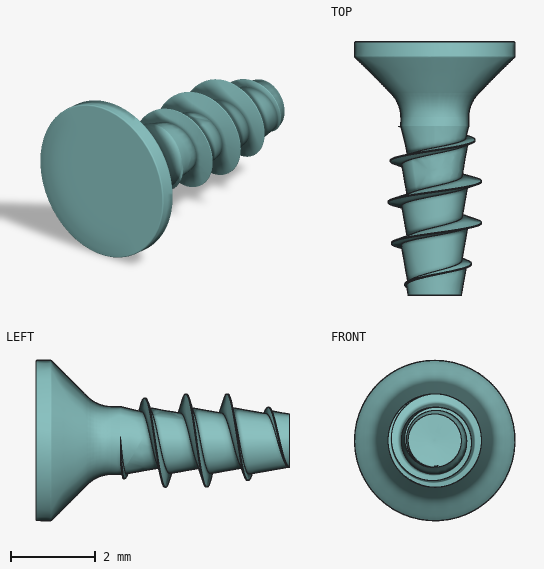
import cadquery as cq
import math

LENGTH = 6.0

HEAD_DIAMETER = 3.8
RIM_HEIGHT = 0.36
HEAD_CONE_ANGLE = 45.0
TOP_EDGE_RADIUS = 0.03
RIM_EDGE_RADIUS = 0.05

SHANK_RADIUS = 0.805
SHANK_BOTTOM = 4.0
NECK_FILLET_RADIUS = 0.8

CORE_RADIUS = 0.6
RUN_IN_CONE_LENGTH = 0.84

TIP_RADIUS = 0.63
TIP_RIM_WIDTH = 0.035
TIP_DIMPLE_DEPTH = 0.035

PITCH = 0.98
CREST_RADIUS = 1.105
CREST_WIDTH = 0.025
FLANK_ANGLE = 15.0
THREAD_ROOT_RADIUS = 0.5
CREST_START_RADIUS = SHANK_RADIUS
SLOW_START_TURNS = 0.5
SLOW_START_PITCH = 0.4
RUN_IN_TURNS = 1.5
FULL_TURNS = 1.5
RUN_OUT_TURNS = 1.5
CREST_END_RADIUS = TIP_RADIUS

LAND_ANGLE = 10.0
LAND_TOP_RADIUS = 0.8
LAND_ROOT_RADIUS = 0.4
LAND_END_GAP = 0.02

SAMPLES_PER_TURN = 12

HEAD_RADIUS = HEAD_DIAMETER / 2
RIM_BOTTOM = LENGTH - RIM_HEIGHT
LAND_SLOPE = math.tan(math.radians(LAND_ANGLE))
THREAD_TURNS = RUN_IN_TURNS + FULL_TURNS + RUN_OUT_TURNS
LAND_LENGTH = PITCH - LAND_END_GAP


def blank():
    """Head, neck, shank and plain core as one turned body."""
    sweep = math.radians(HEAD_CONE_ANGLE)
    half_sweep = sweep / 2
    arc_top_radius = SHANK_RADIUS + NECK_FILLET_RADIUS * (1 - math.cos(sweep))
    arc_top_y = RIM_BOTTOM - (HEAD_RADIUS - arc_top_radius) / math.tan(sweep)
    arc_bottom_y = arc_top_y - NECK_FILLET_RADIUS * math.sin(sweep)
    arc_mid = (
        arc_bottom_y + NECK_FILLET_RADIUS * math.sin(half_sweep),
        SHANK_RADIUS + NECK_FILLET_RADIUS * (1 - math.cos(half_sweep)),
    )
    body = (
        cq.Workplane("YZ")
        .moveTo(0, 0)
        .lineTo(0, CORE_RADIUS)
        .lineTo(SHANK_BOTTOM - RUN_IN_CONE_LENGTH, CORE_RADIUS)
        .lineTo(SHANK_BOTTOM, SHANK_RADIUS)
        .lineTo(arc_bottom_y, SHANK_RADIUS)
        .threePointArc(arc_mid, (arc_top_y, arc_top_radius))
        .lineTo(RIM_BOTTOM, HEAD_RADIUS)
        .lineTo(LENGTH, HEAD_RADIUS)
        .lineTo(LENGTH, 0)
        .close()
        .revolve(360, (0, 0, 0), (1, 0, 0))
    )
    body = body.faces(">Y").edges().fillet(TOP_EDGE_RADIUS)
    rim_edge = cq.selectors.BoxSelector(
        (-HEAD_DIAMETER, RIM_BOTTOM - RIM_EDGE_RADIUS, -HEAD_DIAMETER),
        (HEAD_DIAMETER, RIM_BOTTOM + RIM_EDGE_RADIUS, HEAD_DIAMETER),
        boundingbox=True,
    )
    return body.edges(rim_edge).fillet(RIM_EDGE_RADIUS)


def land_y(t):
    """Axial position of the land after t turns, with a constant lead."""
    return (THREAD_TURNS - t) * PITCH


def thread_y(t):
    """Axial position of the thread after t turns, with a lower lead at the start."""
    slow_left = max(0, SLOW_START_TURNS - t)
    return slow_left * SLOW_START_PITCH + land_y(max(t, SLOW_START_TURNS))


def helix_edge(radius_at, y_at):
    """Helix starting at +Z, advancing to the tip, with radius and y given per turn."""

    def point(t):
        angle = math.pi / 2 + 2 * math.pi * t
        radius = radius_at(t)
        return cq.Vector(radius * math.cos(angle), y_at(t), radius * math.sin(angle))

    count = round(THREAD_TURNS * SAMPLES_PER_TURN)
    points = [point(i / SAMPLES_PER_TURN) for i in range(count + 1)]
    return cq.Edge.makeSpline(points)


def helical_solid(profile, shift_at, y_at):
    """Carry a (radius, axial) polygon along the helix, shifting it radially."""
    edges = [
        helix_edge(lambda t, r=radius: r + shift_at(t), lambda t, a=axial: y_at(t) + a)
        for radius, axial in profile
    ]
    faces = [
        cq.Face.makeRuledSurface(edge, edges[(i + 1) % len(edges)])
        for i, edge in enumerate(edges)
    ]
    for end in (0, 1):
        corners = [edge.positionAt(end) for edge in edges]
        faces.append(cq.Face.makeFromWires(cq.Wire.makePolygon(corners, close=True)))
    return cq.Workplane(cq.Solid.makeSolid(cq.Shell.makeShell(faces)))


def crest_shift(t):
    """Radial drop of the thread profile along run-in, full thread and run-out."""
    if t < RUN_IN_TURNS:
        return (CREST_START_RADIUS - CREST_RADIUS) * (1 - t / RUN_IN_TURNS)
    run_out = max(0, t - RUN_IN_TURNS - FULL_TURNS) / RUN_OUT_TURNS
    return (CREST_END_RADIUS - CREST_RADIUS) * run_out


def thread():
    """Thread ridge, trimmed to the length between tip and shank."""
    half_crest = CREST_WIDTH / 2
    flank_run = (CREST_RADIUS - THREAD_ROOT_RADIUS) * math.tan(math.radians(FLANK_ANGLE))
    profile = [
        (THREAD_ROOT_RADIUS, half_crest + flank_run),
        (CREST_RADIUS, half_crest),
        (CREST_RADIUS, -half_crest),
        (THREAD_ROOT_RADIUS, -half_crest - flank_run),
    ]
    ridge = helical_solid(profile, crest_shift, thread_y)
    limits = cq.Workplane("XZ").circle(HEAD_RADIUS).extrude(-SHANK_BOTTOM)
    return ridge.intersect(limits)


def land():
    """Helical land tapering toward the tip behind each thread turn."""
    profile = [
        (LAND_ROOT_RADIUS, 0),
        (LAND_TOP_RADIUS, 0),
        (LAND_TOP_RADIUS - LAND_LENGTH * LAND_SLOPE, -LAND_LENGTH),
        (LAND_ROOT_RADIUS, -LAND_LENGTH),
    ]
    return helical_solid(profile, lambda t: 0, land_y)


def tip_envelope():
    """Cone that bounds the core at the tip, opening out to clear the head."""
    cone_top_y = (SHANK_RADIUS - TIP_RADIUS) / LAND_SLOPE
    return (
        cq.Workplane("YZ")
        .polyline([
            (0, 0),
            (0, TIP_RADIUS),
            (cone_top_y, SHANK_RADIUS),
            (cone_top_y, HEAD_DIAMETER),
            (LENGTH, HEAD_DIAMETER),
            (LENGTH, 0),
        ])
        .close()
        .revolve(360, (0, 0, 0), (1, 0, 0))
    )


def tip_dimple():
    """Shallow conical recess in the tip face."""
    return (
        cq.Workplane("YZ")
        .polyline([(0, 0), (0, TIP_RADIUS - TIP_RIM_WIDTH), (TIP_DIMPLE_DEPTH, 0)])
        .close()
        .revolve(360, (0, 0, 0), (1, 0, 0))
    )


core = blank().union(land()).intersect(tip_envelope())
result = core.union(thread()).cut(tip_dimple())